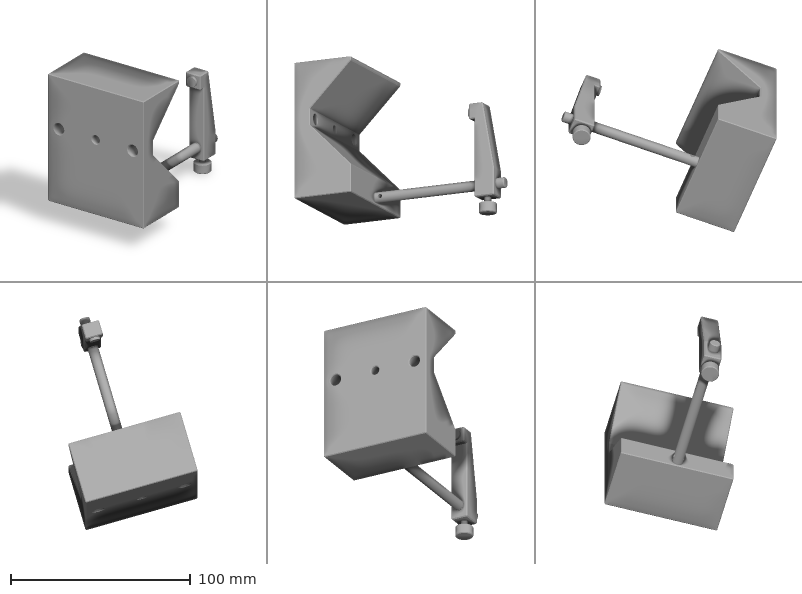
import cadquery as cq

overall_length = 115
edge_chamfer = 0.5
clamp_axis_z = 46

block_width = 65.0
block_depth = 35.0
block_height = 78.0
v_root_y = 9.8
v_root_height = 9.4

side_hole_spacing = 50.0
side_hole_diameter = 6.5
center_hole_diameter = 5.0

rod_diameter = 6.0
rod_axis_z = 4.0
rod_embedment = 11.5
pin_hole_diameter = 2.5
pin_hole_offset = 3.9

arm_width = 10.0
arm_front_y = 98.0
arm_depth = 12.0
arm_rear_y = arm_front_y + arm_depth
arm_bottom_z = -3.5
arm_top_z = 50.5
taper_start_z = 12.0
taper_run = 7.0
head_overhang = 3.5
head_height = 9.0
head_front_y = arm_front_y - head_overhang
arm_chamfer = 0.6

collar_diameter = 6.2
collar_length = 0.6

pad_diameter = 6.0
pad_thickness = 1.5

screw_axis_y = arm_front_y + arm_depth / 2
shank_diameter = 4.0
screw_head_diameter = 10.0
screw_head_height = 5.9
screw_bottom_z = -12.5


def cylinder_along_y(diameter, start_y, end_y, z):
    """Solid cylinder on the part's middle plane."""
    start = cq.Vector(0, start_y, z)
    return cq.Workplane(cq.Solid.makeCylinder(diameter / 2, end_y - start_y, start, cq.Vector(0, 1, 0)))


def extrude_side_profile(points, width):
    """Extrude a (Y, Z) outline symmetrically about the part's middle plane."""
    return cq.Workplane("YZ").polyline(points).close().extrude(width / 2, both=True)


def chamfered_hole(diameter, x):
    """Cutter for a hole from the mounting face into the V, with a chamfered mouth."""
    radius = diameter / 2
    bore = cylinder_along_y(diameter, 0, block_depth, clamp_axis_z)
    mouth_start = cq.Vector(0, 0, clamp_axis_z)
    mouth = cq.Solid.makeCone(radius + edge_chamfer, radius, edge_chamfer, mouth_start, cq.Vector(0, 1, 0))
    return bore.union(cq.Workplane(mouth)).translate((x, 0, 0))


def make_block():
    root_half = v_root_height / 2
    mouth_half = root_half + block_depth - v_root_y
    outline = [
        (0, 0),
        (block_depth, 0),
        (block_depth, clamp_axis_z - mouth_half),
        (v_root_y, clamp_axis_z - root_half),
        (v_root_y, clamp_axis_z + root_half),
        (block_depth, clamp_axis_z + mouth_half),
        (block_depth, block_height),
        (0, block_height),
    ]
    block = extrude_side_profile(outline, block_width)
    block = block.faces("<X or >X or <Y or >Y").edges().chamfer(edge_chamfer)
    hole_x = side_hole_spacing / 2
    holes = [(-hole_x, side_hole_diameter), (0, center_hole_diameter), (hole_x, side_hole_diameter)]
    for x, diameter in holes:
        block = block.cut(chamfered_hole(diameter, x))
    return block


def make_rod():
    rod = cylinder_along_y(rod_diameter, block_depth - rod_embedment, overall_length, rod_axis_z)
    rod = rod.faces(">Y").chamfer(edge_chamfer)
    pin_hole = (
        cq.Workplane("YZ")
        .center(block_depth + pin_hole_offset, rod_axis_z)
        .circle(pin_hole_diameter / 2)
        .extrude(rod_diameter, both=True)
    )
    return rod.cut(pin_hole)


def make_arm():
    outline = [
        (arm_front_y, arm_bottom_z),
        (arm_rear_y, arm_bottom_z),
        (arm_rear_y, taper_start_z),
        (arm_rear_y - taper_run, arm_top_z),
        (head_front_y, arm_top_z),
        (head_front_y, arm_top_z - head_height),
        (arm_front_y, arm_top_z - head_height),
    ]
    arm = extrude_side_profile(outline, arm_width)
    arm = arm.faces("<X or >X or <Y or >Z or <Z").edges().chamfer(arm_chamfer)
    collar = cylinder_along_y(collar_diameter, arm_front_y - collar_length, screw_axis_y, rod_axis_z)
    pad = cylinder_along_y(pad_diameter, head_front_y - pad_thickness, arm_front_y, clamp_axis_z)
    return arm.union(collar).union(pad)


def make_screw():
    base = cq.Workplane("XY", origin=(0, screw_axis_y, screw_bottom_z))
    head = base.circle(screw_head_diameter / 2).extrude(screw_head_height).edges().chamfer(edge_chamfer)
    shank = base.circle(shank_diameter / 2).extrude(rod_axis_z - screw_bottom_z)
    return head.union(shank)


result = make_block().union(make_rod()).union(make_arm()).union(make_screw())